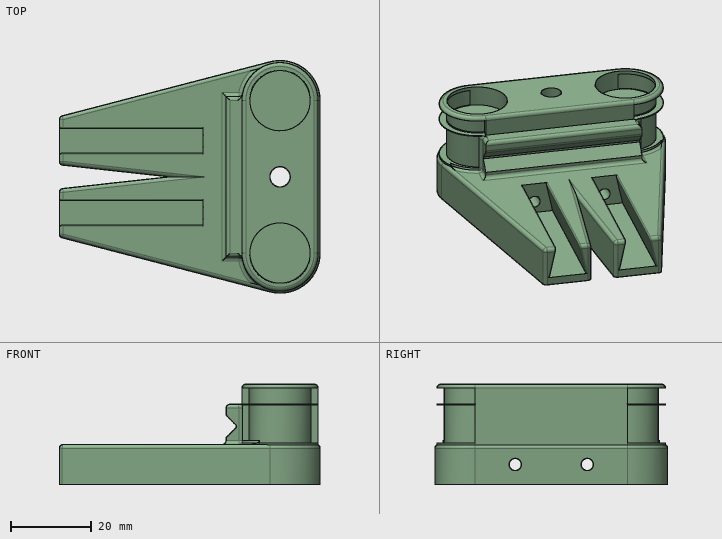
import cadquery as cq
import math

length = 65.0
base_height = 10.0
corner_radius = 10.0
corner_y = 19.0
corner_x = length - corner_radius
tip_outer_y = 15.0
tip_inner_y = 3.0
notch_end_x = 27.2
edge_radius = 1.0

slot_y = 9.0
slot_end_x = 35.8
slot_floor_z = 2.0
slot_top_width = 6.0
slot_floor_width = 9.35
slot_rim_radius = 0.25
cross_hole_diameter = 3.0
cross_hole_z = base_height / 2

total_height = 25.0
block_radius = 9.5
pocket_diameter = 15.0
center_hole_diameter = 5.0

ledge_height = 20.0
neck_wall = 0.2
neck_radius = pocket_diameter / 2 + neck_wall
rim_thickness = edge_radius
flange_thickness = 0.2
foot_pad_height = 0.4

rail_x = 41.55
rail_half_length = 20.0
groove_z = 14.5
groove_half_opening = 2.8
groove_depth = 2.55
groove_half_bottom = groove_half_opening - groove_depth


def half_outline():
    """Outline of the +Y half, its notch wall running on straight past the middle plane.

    The slanted outer side is tangent to the round corner.
    """
    rise = corner_y - tip_outer_y
    slant = math.atan2(rise, corner_x) + math.asin(corner_radius / math.hypot(corner_x, rise))
    tangent_x = corner_x - corner_radius * math.sin(slant)
    tangent_y = corner_y + corner_radius * math.cos(slant)
    mid_angle = (math.pi / 2 + slant) / 2
    mid_x = corner_x + corner_radius * math.cos(mid_angle)
    mid_y = corner_y + corner_radius * math.sin(mid_angle)
    return (
        cq.Workplane("XY")
        .moveTo(0, tip_inner_y)
        .lineTo(length, tip_inner_y * (1 - length / notch_end_x))
        .lineTo(length, corner_y)
        .threePointArc((mid_x, mid_y), (tangent_x, tangent_y))
        .lineTo(0, tip_outer_y)
        .close()
    )


def mirrored_halves(half):
    """Keep what lies on the +Y side and join it to its mirror image."""
    keep = cq.Workplane("XY").box(2 * length, length, total_height, centered=(True, False, False))
    half = half.intersect(keep)
    return half.union(half.mirror("XZ"))


def make_base():
    """Plate with rounded tip corners and top edge; the notch edges meet in a sharp mitre."""
    half = half_outline().extrude(base_height)
    half = half.edges("|Z and <X").fillet(edge_radius)
    return mirrored_halves(half.faces(">Z").edges().fillet(edge_radius))


def cut_finger(body, y):
    """Cut the dovetail slot, open at the finger tip, the hole beyond it, and round the slot rims."""
    slot = (
        cq.Workplane("YZ")
        .polyline([
            (y - slot_floor_width / 2, slot_floor_z),
            (y + slot_floor_width / 2, slot_floor_z),
            (y + slot_top_width / 2, base_height),
            (y - slot_top_width / 2, base_height),
        ])
        .close()
        .extrude(slot_end_x)
    )
    hole = cq.Workplane("YZ").center(y, cross_hole_z).circle(cross_hole_diameter / 2).extrude(length)
    body = body.cut(slot).cut(hole)
    for wall_side in (-1, 1):
        rim_y = y + wall_side * slot_top_width / 2
        rim = cq.selectors.NearestToPointSelector((slot_end_x / 2, rim_y, base_height))
        body = body.edges(rim).fillet(slot_rim_radius)
    return body


def block_slab(height):
    return (
        cq.Workplane("XY")
        .center(corner_x, 0)
        .slot2D(2 * (corner_y + block_radius), 2 * block_radius, 90)
        .extrude(height)
    )


def make_block():
    return block_slab(total_height).faces(">Z").edges().fillet(edge_radius)


def make_rail():
    """Rail with a rounded top, blended into the block and the flat top of the base."""
    rail = (
        cq.Workplane("XY", origin=(rail_x, 0, 0))
        .box(corner_x - rail_x, 2 * rail_half_length, ledge_height, centered=(False, True, False))
        .faces(">Z").edges("<X or <Y or >Y").fillet(edge_radius)
    )
    floor = cq.Workplane("XY").box(2 * length, 2 * length, base_height, centered=(True, True, False))
    blend = block_slab(ledge_height).union(rail).union(floor)

    joint_x = corner_x - math.sqrt(block_radius**2 - (rail_half_length - corner_y) ** 2)
    joint_z = (base_height + ledge_height) / 2
    for joint_y in (-rail_half_length, rail_half_length):
        joint = cq.selectors.NearestToPointSelector((joint_x, joint_y, joint_z))
        blend = blend.edges(joint).fillet(edge_radius)

    foot_zone = cq.selectors.BoxSelector(
        (rail_x - edge_radius, -length, base_height - edge_radius / 2),
        (2 * length, length, base_height + edge_radius / 2),
        boundingbox=True,
    )
    blend = blend.edges(foot_zone).edges("not(>X)").fillet(edge_radius)
    flat_half = half_outline().offset2D(-edge_radius).extrude(total_height)
    limit = cq.Workplane("XY", origin=(rail_x - edge_radius, 0, 0)).box(
        length, length, ledge_height, centered=(False, True, False)
    )
    return blend.intersect(mirrored_halves(flat_half)).intersect(limit)


def cut_groove(body):
    groove = (
        cq.Workplane("XZ")
        .polyline([
            (rail_x, groove_z - groove_half_opening),
            (rail_x + groove_depth, groove_z - groove_half_bottom),
            (rail_x + groove_depth, groove_z + groove_half_bottom),
            (rail_x, groove_z + groove_half_opening),
        ])
        .close()
        .extrude(rail_half_length, both=True)
    )
    body = body.cut(groove)

    upper_lip = cq.selectors.NearestToPointSelector((rail_x, 0, groove_z + groove_half_opening))
    return body.edges(upper_lip).fillet(edge_radius)


def cut_neck(body, side):
    """Turn one round end of the block down to the neck, leaving the flange, rim and foot pad."""
    def ring(z_low, z_high):
        height = z_high - z_low
        disc = (
            cq.Workplane("XY", origin=(corner_x, side * corner_y, z_low))
            .circle(block_radius)
            .circle(neck_radius)
            .extrude(height)
        )
        outer_half = cq.Workplane("XY").box(length, length, height, centered=(True, True, False))
        return disc.intersect(outer_half.translate((corner_x, side * (corner_y + length / 2), z_low)))

    body = body.cut(ring(base_height + foot_pad_height, ledge_height - flange_thickness))
    return body.cut(ring(ledge_height, total_height - rim_thickness))


def cut_block_holes(body):
    """Round pocket over each neck and a hole through the middle of the block and plate."""
    pockets = (
        cq.Workplane("XY", origin=(corner_x, 0, ledge_height))
        .pushPoints([(0, -corner_y), (0, corner_y)])
        .circle(pocket_diameter / 2)
        .extrude(total_height - ledge_height)
    )
    center_hole = (
        cq.Workplane("XY")
        .center(corner_x, 0)
        .circle(center_hole_diameter / 2)
        .extrude(total_height)
    )
    return body.cut(pockets).cut(center_hole)


result = make_base().union(make_rail()).union(make_block())
result = cut_groove(result)
for side in (-1, 1):
    result = cut_finger(result, side * slot_y)
    result = cut_neck(result, side)
result = cut_block_holes(result)